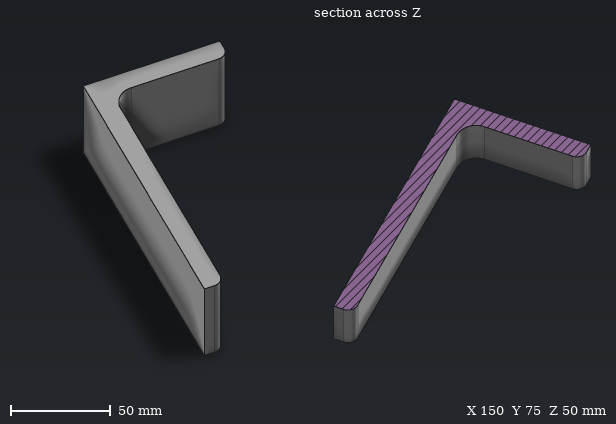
import cadquery as cq

long_leg = 150.0
short_leg = 75.0
thickness = 11.0
length = 50.0
root_radius = 10.5
toe_radius = 5.5


def angle_blank():
    """Sharp-cornered L section with its heel at the origin, extruded to length."""
    outline = [
        (0, 0),
        (long_leg, 0),
        (long_leg, thickness),
        (thickness, thickness),
        (thickness, short_leg),
        (0, short_leg),
    ]
    return cq.Workplane("XY").polyline(outline).close().extrude(length)


def round_upright_edge(body, x, y, radius):
    """Fillet the single Z-parallel edge that passes through (x, y)."""
    edge_middle = (x, y, length / 2)
    return body.edges(cq.selectors.NearestToPointSelector(edge_middle)).fillet(radius)


result = angle_blank()
result = round_upright_edge(result, thickness, thickness, root_radius)
result = round_upright_edge(result, long_leg, thickness, toe_radius)
result = round_upright_edge(result, thickness, short_leg, toe_radius)